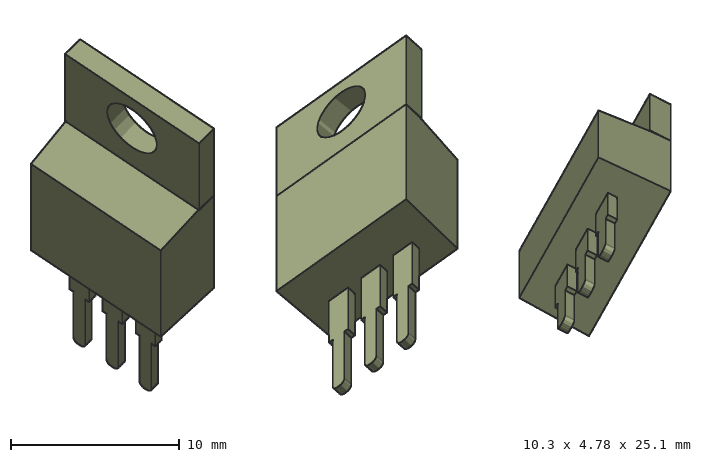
import cadquery as cq
overall_height = 25.15
package_width = 10.3
package_depth = 4.78

tab_height = 6.77
tab_thickness = 1.4
hole_diameter = 3.8
hole_below_top = 3.0

housing_height = 9.33
slope_drop = 0.6
side_inset = 0.159

lead_pitch = 2.55
lead_thickness = 0.63
lead_back_y = -2.62
lead_wide_width = 1.5
lead_narrow_width = 0.93
lead_wide_length = 4.08
tip_corner_radius = 0.4

front_y = -package_depth
tab_front_y = -tab_thickness
tab_top_z = housing_height + tab_height
lead_length = overall_height - tab_top_z
lead_front_y = lead_back_y - lead_thickness


def make_tab():
    """Flat plate standing on the housing, with the screw hole through it."""
    plate = cq.Workplane("XY").box(
        package_width, tab_thickness, tab_height, centered=(True, False, False)
    )
    plate = plate.translate((0, tab_front_y, housing_height))
    hole = (
        cq.Workplane("XZ")
        .center(0, tab_top_z - hole_below_top)
        .circle(hole_diameter / 2)
        .extrude(tab_thickness)
    )
    return plate.cut(hole)


def make_moulding():
    """Block with a sloping top front, narrowing from the back to the front."""
    back_half = package_width / 2
    front_half = back_half - side_inset
    profile = (
        cq.Workplane("YZ")
        .polyline(
            [
                (0, 0),
                (0, housing_height),
                (tab_front_y, housing_height),
                (front_y, housing_height - slope_drop),
                (front_y, 0),
            ]
        )
        .close()
        .extrude(back_half, both=True)
    )
    plan = (
        cq.Workplane("XY")
        .polyline([(-back_half, 0), (back_half, 0), (front_half, front_y), (-front_half, front_y)])
        .close()
        .extrude(housing_height)
    )
    return profile.intersect(plan)


def make_lead(center_x):
    """Stepped flat lead hanging below the housing, with rounded tip corners."""
    wide = cq.Workplane("XY").box(
        lead_wide_width, lead_thickness, lead_wide_length, centered=(True, False, False)
    )
    wide = wide.translate((center_x, lead_front_y, -lead_wide_length))
    narrow = cq.Workplane("XY").box(
        lead_narrow_width, lead_thickness, lead_length, centered=(True, False, False)
    )
    narrow = narrow.edges("|Y and <Z").fillet(tip_corner_radius)
    narrow = narrow.translate((center_x, lead_front_y, -lead_length))
    return wide.union(narrow)


def make_housing():
    """Moulding and its three leads as one solid."""
    housing = make_moulding()
    for position in (-1, 0, 1):
        housing = housing.union(make_lead(position * lead_pitch))
    return housing


tab = make_tab()
housing = make_housing()

result = cq.Compound.makeCompound([tab.val(), housing.val()])